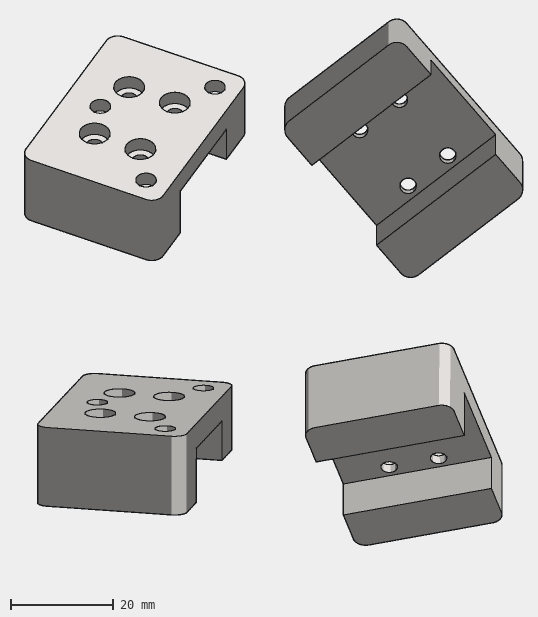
import cadquery as cq

width = 30
length = 40
height = 16
plate_thickness = 5.0
corner_radius = plate_thickness / 2

channel_width = 20
short_leg_height = 13.0

screw_pitch_x = 10
screw_pitch_y = 15.0
screw_diameter = 3.2
counterbore_diameter = 6
counterbore_depth = 3.0

dowel_diameter = 4
dowel_depth = 3.0
dowel_pair_x = 10
dowel_pair_pitch = 30
single_dowel_x = -7.5
dowel_positions = [
    (dowel_pair_x, dowel_pair_pitch / 2),
    (dowel_pair_x, -dowel_pair_pitch / 2),
    (single_dowel_x, 0),
]


def bridge_body():
    """Side profile extruded across X, with rounded vertical corners; top face at Z = 0."""
    end = length / 2
    channel = channel_width / 2
    profile = [
        (-end, 0),
        (end, 0),
        (end, -short_leg_height),
        (channel, -short_leg_height),
        (channel, -plate_thickness),
        (-channel, -plate_thickness),
        (-channel, -height),
        (-end, -height),
    ]
    body = cq.Workplane("YZ").polyline(profile).close().extrude(width / 2, both=True)
    outer_corners = body.faces("<Y or >Y").edges("|Z")
    return outer_corners.fillet(corner_radius)


def cut_screw_holes(body):
    return (
        body.faces(">Z")
        .workplane(origin=(0, 0, 0))
        .rarray(screw_pitch_x, screw_pitch_y, 2, 2)
        .cboreHole(screw_diameter, counterbore_diameter, counterbore_depth)
    )


def cut_dowel_holes(body):
    return (
        body.faces(">Z")
        .workplane(origin=(0, 0, 0))
        .pushPoints(dowel_positions)
        .hole(dowel_diameter, dowel_depth)
    )


result = cut_dowel_holes(cut_screw_holes(bridge_body()))